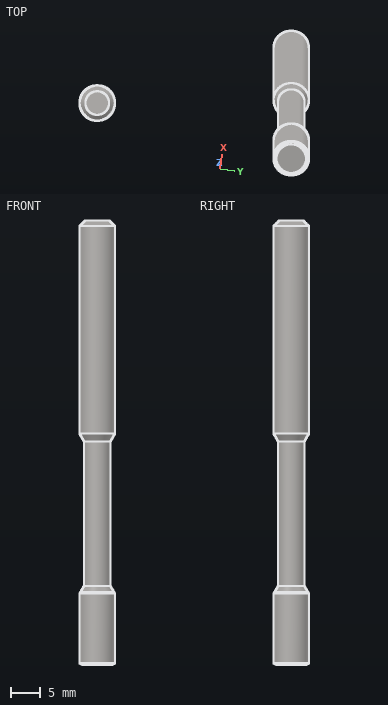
import cadquery as cq
import math

total_length = 75.0
shank_diameter = 6.0
shank_length = 36.0
shank_end_chamfer = 1.0

neck_diameter = 4.5
cone_half_angle = math.radians(30)

head_diameter = 6.02
core_diameter = 5.72
head_length = 12.0
tip_bevel_width = 0.5
tip_bevel_angle = math.radians(30)

head_radius = head_diameter / 2
core_radius = core_diameter / 2


def cone_height(large_diameter, small_diameter):
    """Axial height of a neck cone between two diameters."""
    return (large_diameter - small_diameter) / 2 / math.tan(cone_half_angle)


def bevel_height(width):
    """Axial height of the tip bevel over a given radial width."""
    return width * math.tan(tip_bevel_angle)


sleeve_thickness = head_radius - core_radius
sleeve_bottom = bevel_height(tip_bevel_width - sleeve_thickness)
sleeve_top = head_length + cone_height(head_diameter, core_diameter)


def revolve_about_z(profile):
    """Turn a closed half profile, drawn in the XZ plane, about the Z axis."""
    return profile.revolve(360, (0, 0, 0), (0, 1, 0))


def make_tool():
    """Shank, reduced neck and head core in one piece."""
    shank_radius = shank_diameter / 2
    neck_radius = neck_diameter / 2
    shank_bottom = total_length - shank_length
    neck_top = shank_bottom - cone_height(shank_diameter, neck_diameter)
    neck_bottom = sleeve_top + cone_height(core_diameter, neck_diameter)
    profile = (
        cq.Workplane("XZ")
        .lineTo(head_radius - tip_bevel_width, 0)
        .lineTo(core_radius, sleeve_bottom)
        .lineTo(core_radius, sleeve_top)
        .lineTo(neck_radius, neck_bottom)
        .lineTo(neck_radius, neck_top)
        .lineTo(shank_radius, shank_bottom)
        .lineTo(shank_radius, total_length - shank_end_chamfer)
        .lineTo(shank_radius - shank_end_chamfer, total_length)
        .lineTo(0, total_length)
        .close()
    )
    return revolve_about_z(profile)


def make_sleeve():
    """Thin sleeve round the head core, sloped at both ends to continue the core's cones."""
    profile = (
        cq.Workplane("XZ")
        .moveTo(core_radius, sleeve_bottom)
        .lineTo(head_radius, bevel_height(tip_bevel_width))
        .lineTo(head_radius, head_length)
        .lineTo(core_radius, sleeve_top)
        .close()
    )
    return revolve_about_z(profile)


tool = make_tool()
sleeve = make_sleeve()

result = cq.Compound.makeCompound([tool.val(), sleeve.val()])